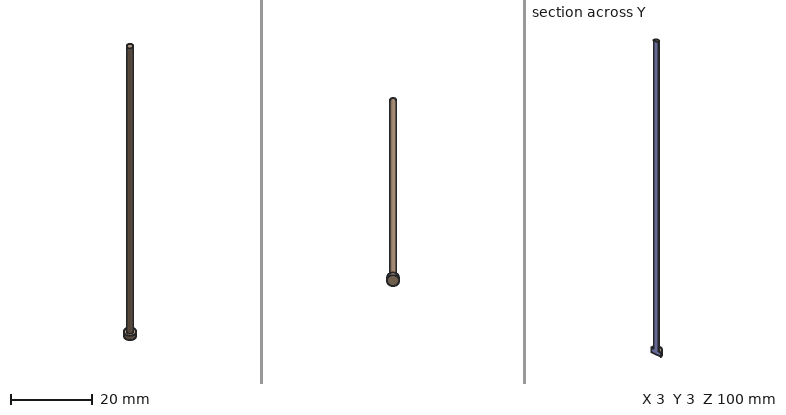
import cadquery as cq

total_length = 100.0
head_diameter = 3.0
head_height = 1.5
shank_diameter = 1.6

head = cq.Workplane("XY").circle(head_diameter / 2).extrude(head_height)
shank = cq.Workplane("XY").circle(shank_diameter / 2).extrude(total_length)

result = head.union(shank)